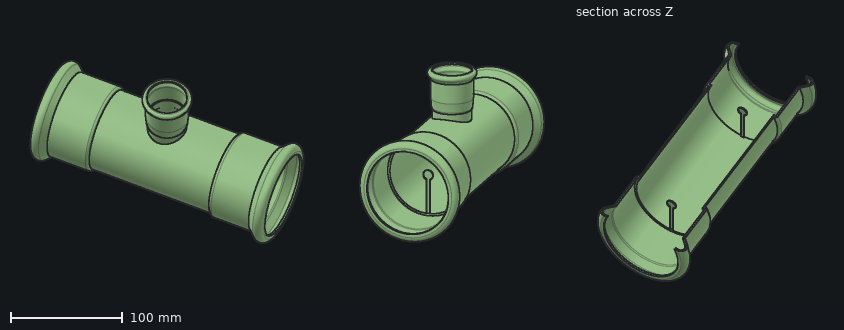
import cadquery as cq
import math


run_length = 230.0
branch_height = 80.3

run_port = {
    "length": run_length / 2,
    "pipe_radius": 38.0,
    "bore_radius": 36.3,
    "wall": 2.0,
    "mouth_radius": 38.9,
    "bead_radius": 47.4,
    "bead_round": 5.5,
    "flare_depth": 15.5,
    "socket_radius": 40.5,
    "socket_depth": 53.0,
    "shoulder_radius": 40.5,
    "shoulder_depth": 53.0,
    "shoulder_round": 3.0,
    "disc_radius": 4.5,
    "stick_width": 3.5,
}

branch_port = {
    "length": branch_height,
    "pipe_radius": 17.7,
    "bore_radius": 16.5,
    "wall": 1.5,
    "mouth_radius": 18.0,
    "bead_radius": 22.3,
    "bead_round": 3.0,
    "flare_depth": 8.3,
    "socket_radius": 19.3,
    "socket_depth": 26.2,
    "shoulder_radius": 18.6,
    "shoulder_depth": 35.0,
    "shoulder_round": 2.5,
    "disc_radius": 2.3,
    "stick_width": 1.4,
}

mark_thickness = 1.0
mark_overlap = 1.0


def on_arc(center, arc_radius, angle):
    """Point on an arc of a port section, at an angle from straight outwards, growing with depth."""
    radius, depth = center
    return (radius + arc_radius * math.cos(angle), depth + arc_radius * math.sin(angle))


def bead_center(port):
    return (port["bead_radius"] - port["bead_round"], port["bead_round"])


def flare_angle(port):
    """Angle past the crest of the bead where the flare cone leaves it tangentially."""
    center_radius, center_depth = bead_center(port)
    inward = center_radius - port["socket_radius"]
    along = port["flare_depth"] - center_depth
    return math.atan2(along, -inward) - math.acos(port["bead_round"] / math.hypot(along, inward))


def add_bead(section, port, arc_radius):
    """Follow the bead from the end face over its crest to the start of the flare cone."""
    center = bead_center(port)
    start_angle = -math.pi / 2
    end_angle = flare_angle(port)
    section = section.lineTo(*on_arc(center, arc_radius, start_angle))
    middle = on_arc(center, arc_radius, (start_angle + end_angle) / 2)
    return section.threePointArc(middle, on_arc(center, arc_radius, end_angle))


def add_shoulder(section, port):
    """Round the inner end of the socket down to the pipe."""
    center = (port["shoulder_radius"] - port["shoulder_round"], port["shoulder_depth"])
    sweep = math.acos((port["pipe_radius"] - center[0]) / port["shoulder_round"])
    middle = on_arc(center, port["shoulder_round"], sweep / 2)
    return section.threePointArc(middle, on_arc(center, port["shoulder_round"], sweep))


def revolve_section(section):
    return section.close().revolve(360, (0, 0, 0), (0, 1, 0))


def port_outside(port):
    """Filled outer shape of a port that opens at the origin and runs along +Y."""
    section = cq.Workplane("XY").moveTo(0, 0)
    section = add_bead(section, port, port["bead_round"])
    section = section.lineTo(port["socket_radius"], port["flare_depth"])
    section = section.lineTo(port["socket_radius"], port["socket_depth"])
    if port["shoulder_depth"] > port["socket_depth"]:
        section = section.lineTo(port["shoulder_radius"], port["shoulder_depth"])
    section = add_shoulder(section, port)
    section = section.lineTo(port["pipe_radius"], port["length"]).lineTo(0, port["length"])
    return revolve_section(section)


def port_inside(port):
    """Hollow of a port: mouth, seal groove in the bead, socket and pipe bore.

    The groove and socket follow the outer shape one wall thickness further in.
    """
    wall = port["wall"]
    flare_foot = (port["socket_radius"], port["flare_depth"])
    socket_bore = port["socket_radius"] - wall
    arc_start = math.pi + flare_angle(port)
    section = cq.Workplane("XY").moveTo(0, 0)
    section = section.lineTo(port["mouth_radius"], 0).lineTo(port["mouth_radius"], wall)
    section = add_bead(section, port, port["bead_round"] - wall)
    section = section.lineTo(*on_arc(flare_foot, wall, arc_start))
    section = section.threePointArc(
        on_arc(flare_foot, wall, (arc_start + math.pi) / 2),
        (socket_bore, port["flare_depth"]),
    )
    section = section.lineTo(socket_bore, port["socket_depth"])
    section = section.lineTo(port["bore_radius"], port["socket_depth"])
    section = section.lineTo(port["bore_radius"], port["length"]).lineTo(0, port["length"])
    return revolve_section(section)


def stop_mark(port):
    """Flat disc on the port axis at the socket step, with its stick along +X to the bore."""
    reach = port["bore_radius"] + mark_overlap
    stick = cq.Workplane("XZ").center(reach / 2, 0).rect(reach, port["stick_width"])
    disc = cq.Workplane("XZ").circle(port["disc_radius"])
    mark = disc.extrude(-mark_thickness).union(stick.extrude(-mark_thickness))
    return mark.translate((0, port["socket_depth"], 0))


def place_on_run(shape):
    """Put a port shape on the -X end of the run, its +X side down, and mirror it to the +X end."""
    shape = shape.rotate((0, 0, 0), (0, 0, 1), -90).rotate((0, 0, 0), (1, 0, 0), 90)
    shape = shape.translate((-run_length / 2, 0, 0))
    return shape.union(shape.mirror("YZ"))


def place_on_branch(shape):
    """Put a port shape on the branch, so that it opens upwards."""
    return shape.rotate((0, 0, 0), (1, 0, 0), -90).translate((0, 0, branch_height))


outside = place_on_run(port_outside(run_port)).union(place_on_branch(port_outside(branch_port)))
tee = outside.cut(place_on_run(port_inside(run_port))).cut(place_on_branch(port_inside(branch_port)))

result = tee.union(place_on_run(stop_mark(run_port))).union(place_on_branch(stop_mark(branch_port)))